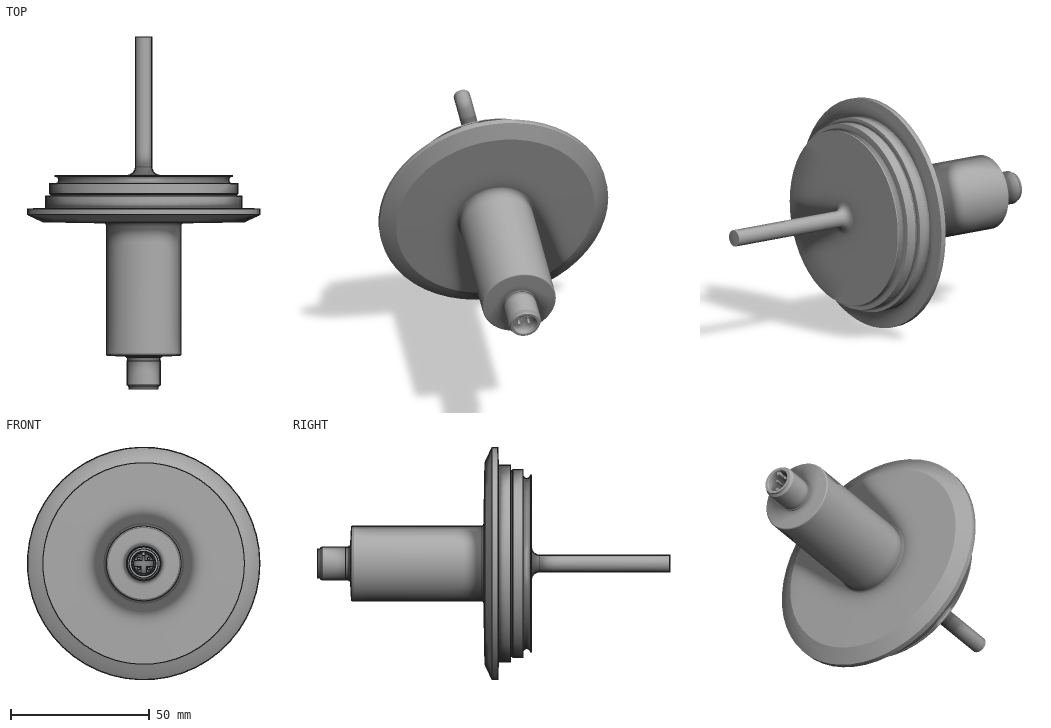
import cadquery as cq
import math


rod_radius = 6.0 / 2
rod_length = 50.0
rod_root_fillet = 3.0

lip_radius = 64.0 / 2
lip_thickness = 0.4
seal_groove_end = -3.0
seal_groove_bottom_radius = 30.75
seal_groove_side_radius = 31.6
pilot_radius = 68.0 / 2
relief_start = -6.6
relief_depth = 0.4
relief_radius = pilot_radius - relief_depth
relief_end = -7.0
step_start = -7.5
step_radius = 71.0 / 2
flange_root_y = -11.9
flange_rim_start = -12.15
flange_radius = 84.0 / 2
flange_rim_end = -14.15
flange_face_radius = 36.4
flange_face_y = -16.8
face_slope = math.radians(1.0)

housing_radius = 27.0 / 2
housing_root_fillet = 0.8
housing_end = -65.0
housing_edge_fillet = 0.5
housing_end_slope = math.radians(3.0)

connector_radius = 12.0 / 2
collar_radius = 12.5 / 2
collar_end = -65.8
neck_radius = 11.8 / 2
neck_end = -67.1
connector_nose_radius = 10.5 / 2
connector_end = -77.2
nose_length = 0.8
nose_chamfer = connector_radius - connector_nose_radius
connector_bore_radius = 8.3 / 2
bore_mouth_chamfer = 0.25
bore_depth = 9.0
bore_floor = connector_end + bore_depth
insert_radius = 3.65
insert_height = 1.5
key_width = 1.1
key_inner_radius = 2.9
pin_radius = 1.0 / 2
pin_circle_radius = 2.5
pin_count = 4
first_pin_angle = 45
pin_tip_y = connector_end + 2.3
key_start = connector_end + 0.7
cross_width = 2.0
cross_depth = 1.0


def revolved_body():
    """Rod, sealing disc, flange, housing and connector as one turned solid."""
    groove_middle = (-lip_thickness + seal_groove_end) / 2
    root_radius = housing_radius + housing_root_fillet
    root_y = flange_face_y - (flange_face_radius - root_radius) * math.tan(face_slope)
    root_tangent = 1 - math.sqrt(0.5)
    edge_tangent = housing_edge_fillet * root_tangent
    cap_radius = housing_radius - housing_edge_fillet
    cap_y = housing_end - (cap_radius - collar_radius) * math.tan(housing_end_slope)
    nose_start = connector_end + nose_length

    profile = (
        cq.Workplane("XY")
        .moveTo(0, rod_length)
        .lineTo(rod_radius, rod_length)
        .lineTo(rod_radius, rod_root_fillet)
        .threePointArc(
            (rod_radius + rod_root_fillet * root_tangent, rod_root_fillet * root_tangent),
            (rod_radius + rod_root_fillet, 0),
        )
        .lineTo(lip_radius, 0)
        .lineTo(lip_radius, -lip_thickness)
        .lineTo(seal_groove_side_radius, -lip_thickness)
        .threePointArc(
            (seal_groove_bottom_radius, groove_middle),
            (seal_groove_side_radius, seal_groove_end),
        )
        .lineTo(pilot_radius, seal_groove_end)
        .lineTo(pilot_radius, relief_start)
        .lineTo(relief_radius, relief_end)
        .lineTo(relief_radius, step_start)
        .lineTo(step_radius, step_start)
        .lineTo(step_radius, flange_root_y)
        .lineTo(flange_radius, flange_rim_start)
        .lineTo(flange_radius, flange_rim_end)
        .lineTo(flange_face_radius, flange_face_y)
        .lineTo(root_radius, root_y)
        .threePointArc(
            (
                housing_radius + housing_root_fillet * root_tangent,
                root_y - housing_root_fillet * root_tangent,
            ),
            (housing_radius, root_y - housing_root_fillet),
        )
        .lineTo(housing_radius, housing_end + housing_edge_fillet)
        .threePointArc(
            (housing_radius - edge_tangent, housing_end + edge_tangent),
            (cap_radius, housing_end),
        )
        .lineTo(collar_radius, cap_y)
        .lineTo(collar_radius, collar_end)
        .lineTo(neck_radius, collar_end)
        .lineTo(neck_radius, neck_end)
        .lineTo(connector_radius, neck_end)
        .lineTo(connector_radius, nose_start + nose_chamfer)
        .lineTo(connector_nose_radius, nose_start)
        .lineTo(connector_nose_radius, connector_end)
        .lineTo(0, connector_end)
        .close()
    )
    return profile.revolve(360, (0, 0, 0), (0, 1, 0))


def sketch_plane(y):
    """Plane across the axis at the given Y, with local X and Y along part X and Z."""
    return cq.Workplane("XZ", origin=(0, y, 0))


def cut_connector_bore(body):
    """Open the socket in the connector nose, with a chamfered mouth."""
    bore = sketch_plane(bore_floor).circle(connector_bore_radius).extrude(bore_depth)
    bored = body.cut(bore)
    mouth = cq.selectors.RadiusNthSelector(0)
    return bored.faces("<Y").edges(mouth).chamfer(bore_mouth_chamfer)


def connector_insert():
    """Raised disc on the socket floor, with a cross-shaped groove in its end face."""
    disc = sketch_plane(bore_floor).circle(insert_radius).extrude(insert_height)
    groove_plane = sketch_plane(bore_floor - insert_height + cross_depth)
    side_arms = groove_plane.rect(2 * insert_radius, cross_width).extrude(cross_depth)
    lower_arm = (
        groove_plane.center(0, -insert_radius / 2)
        .rect(cross_width, insert_radius)
        .extrude(cross_depth)
    )
    key_arm = (
        groove_plane.center(0, insert_radius / 2)
        .rect(key_width, insert_radius)
        .extrude(cross_depth)
    )
    return disc.cut(side_arms).cut(lower_arm).cut(key_arm)


def contact_pins():
    """Contact pins standing on the socket floor."""
    return (
        sketch_plane(bore_floor)
        .polarArray(pin_circle_radius, first_pin_angle, 360, pin_count)
        .circle(pin_radius)
        .extrude(bore_floor - pin_tip_y)
    )


def coding_key():
    """Key running along the top of the socket wall, rooted in the wall."""
    key_outer_radius = (connector_bore_radius + connector_nose_radius) / 2
    return (
        sketch_plane(bore_floor)
        .center(0, (key_inner_radius + key_outer_radius) / 2)
        .rect(key_width, key_outer_radius - key_inner_radius)
        .extrude(bore_floor - key_start)
    )


result = (
    cut_connector_bore(revolved_body())
    .union(connector_insert())
    .union(contact_pins())
    .union(coding_key())
)